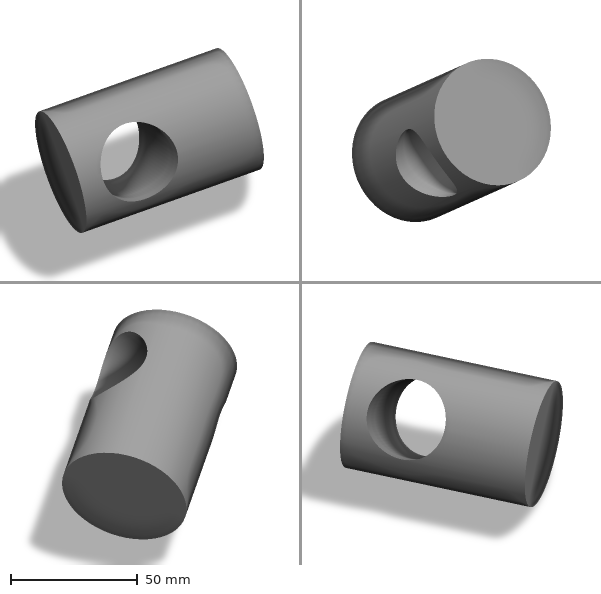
import cadquery as cq

length = 76.2
diameter = length * 2 / 3

hole_diameter = 32.0
hole_tilt = 40.0
hole_from_front = length / 3
hole_y = hole_from_front - length / 2


def make_body():
    """Solid round bar with its axis along Y."""
    return cq.Workplane("XZ", origin=(0, length / 2, 0)).circle(diameter / 2).extrude(length)


def make_cross_hole():
    """Cutter along X, longer than the body is wide, tilted up about the body axis."""
    cutter = (
        cq.Workplane("YZ", origin=(-diameter, 0, 0))
        .center(hole_y, 0)
        .circle(hole_diameter / 2)
        .extrude(2 * diameter)
    )
    return cutter.rotate((0, 0, 0), (0, 1, 0), -hole_tilt)


result = make_body().cut(make_cross_hole())